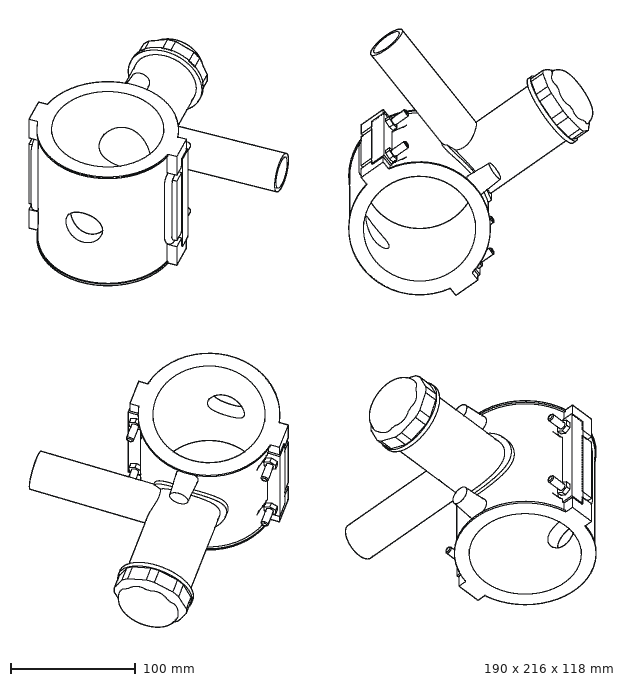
import cadquery as cq
import math

total_length = 216.0

height = 118.0
bore_radius = 45.0
rim_radius = 56.8
rim_width = 2.0
back_radius = 55.0
front_radius = 56.0
front_hole_diameter = 31.3

ear_root = 48.5
ear_reach = 63.3
ear_thickness = 11.0
pad_reach = 64.1
pad_thickness = 12.5
pad_height = 94.5

bolt_diameter = 6.0
bolt_x = 57.0
bolt_z = 35.5
bolt_tip_y = 30.2
bolt_tip_chamfer = 0.9
bolt_bar_y = -14.0
bolt_bend_radius = 7.5
slot_width = 6.5
nut_across_flats = 10.0
nut_height = 3.9
nut_pocket_radius = 8.2
nut_pocket_fillet = 3.7

tube_diameter = 53.5
tube_bore_diameter = 44.0
saddle_ring_diameter = 63.0
saddle_ring_radius = 57.9
branch_diameter = 32.0
branch_bore_diameter = 25.7
branch_y = 61.0
branch_end_x = 125.9

cap_flange_diameter = 63.0
cap_flange_y = 131.0
cap_flange_thickness = 3.5
cap_grip_radius = 30.7
cap_grip_apothem = 29.47
cap_grip_sides = 8
cap_grip_height = 11.7
cap_slope = 45.0
cap_slope_height = 6.5
cap_dome_radius = 25.5
cap_dome_fillet = 9.7
cap_end_y = total_length - rim_radius

peg_base_diameter = 18.8
peg_tip_diameter = 15.5
peg_base_y = 53.0
peg_tip_y = 75.4
peg_z = 47.5

SIGNS = (-1, 1)


def box_between(x_range, y_range, z_range):
    """Axis-aligned box from pairs of opposite limits."""
    sizes = [abs(b - a) for a, b in (x_range, y_range, z_range)]
    middle = [(a + b) / 2 for a, b in (x_range, y_range, z_range)]
    return cq.Workplane("XY").box(*sizes).translate(tuple(middle))


def z_cylinder(radius, length):
    return cq.Workplane("XY").workplane(offset=-length / 2).circle(radius).extrude(length)


def y_plane(y, x=0.0, z=0.0):
    """Workplane facing +Y; its local X axis is global X."""
    return cq.Workplane(cq.Plane(origin=(x, y, z), xDir=(1, 0, 0), normal=(0, 1, 0)))


def half_space(side):
    """Large box covering one side of the parting plane."""
    reach = 2 * rim_radius
    return box_between((-reach, reach), (0, side * reach), (-reach, reach))


def back_shell():
    """+Y shell with the rounded pockets that clear the nuts."""
    shell = z_cylinder(back_radius, height)
    for side in SIGNS:
        for level in SIGNS:
            pocket = y_plane(0, side * bolt_x, level * bolt_z).circle(nut_pocket_radius)
            shell = shell.cut(pocket.extrude(rim_radius, both=True))
    shell = shell.edges("%BSPLINE").fillet(nut_pocket_fillet)
    return shell.intersect(half_space(1))


def rims():
    ring = z_cylinder(rim_radius, height)
    return ring.cut(z_cylinder(rim_radius, height - 2 * rim_width))


def ears(side):
    """Both half ears and the thicker bolt pad on one side."""
    root = side * ear_root
    full_height = (-height / 2, height / 2)
    ear = box_between((root, side * ear_reach), (-ear_thickness, ear_thickness), full_height)
    pad = box_between(
        (root, side * pad_reach), (0, pad_thickness), (-pad_height / 2, pad_height / 2)
    )
    return ear.cut(bolt_slots(side)).union(pad)


def bolt_slots(side):
    """Slots in the front ear, open outward, for the two legs of a U-bolt."""
    inner = side * (bolt_x - slot_width / 2)
    slots = cq.Workplane()
    for level in SIGNS:
        z_range = (level * bolt_z - slot_width / 2, level * bolt_z + slot_width / 2)
        slots = slots.union(box_between((inner, side * pad_reach), (-ear_thickness, 0), z_range))
    return slots


def u_bolt(side):
    bend_y = bolt_bar_y + bolt_bend_radius
    bend_z = bolt_z - bolt_bend_radius
    corner = bolt_bend_radius * math.sqrt(0.5)
    plane = cq.Plane(origin=(side * bolt_x, 0, 0), xDir=(0, 1, 0), normal=(1, 0, 0))
    path = (
        cq.Workplane(plane)
        .moveTo(bolt_tip_y, bolt_z)
        .lineTo(bend_y, bolt_z)
        .threePointArc((bend_y - corner, bend_z + corner), (bolt_bar_y, bend_z))
        .lineTo(bolt_bar_y, -bend_z)
        .threePointArc((bend_y - corner, -bend_z - corner), (bend_y, -bolt_z))
        .lineTo(bolt_tip_y, -bolt_z)
    )
    start = y_plane(bolt_tip_y, side * bolt_x, bolt_z)
    bolt = start.circle(bolt_diameter / 2).sweep(path)
    bolt = bolt.faces(">Y").edges().chamfer(bolt_tip_chamfer)
    corner_diameter = nut_across_flats / math.cos(math.pi / 6)
    for level in SIGNS:
        nut = (
            y_plane(pad_thickness, side * bolt_x, level * bolt_z)
            .transformed(rotate=(0, 0, 90))
            .polygon(6, corner_diameter)
            .extrude(nut_height)
        )
        bolt = bolt.union(nut)
    return bolt


def tube():
    body = y_plane(0).circle(tube_diameter / 2).extrude(cap_flange_y)
    ring = y_plane(0).circle(saddle_ring_diameter / 2).extrude(2 * rim_radius)
    ring = ring.intersect(z_cylinder(saddle_ring_radius, height))
    branch = (
        cq.Workplane("YZ").center(branch_y, 0).circle(branch_diameter / 2).extrude(branch_end_x)
    )
    return body.union(ring).union(branch)


def cap():
    """Flanged cap: octagonal grip with rounded corners, sloped shoulder and dome."""
    grip_y = cap_flange_y + cap_flange_thickness
    shoulder_y = grip_y + cap_grip_height
    flange = y_plane(cap_flange_y).circle(cap_flange_diameter / 2).extrude(cap_flange_thickness)
    octagon_diameter = 2 * cap_grip_apothem / math.cos(math.pi / cap_grip_sides)

    def prism(y):
        return y_plane(y).polygon(cap_grip_sides, octagon_diameter)

    grip = prism(grip_y).extrude(cap_grip_height)
    grip = grip.intersect(y_plane(grip_y).circle(cap_grip_radius).extrude(cap_grip_height))
    shoulder = prism(shoulder_y).extrude(cap_slope_height, taper=cap_slope)
    cone = y_plane(shoulder_y).circle(cap_grip_radius).extrude(cap_slope_height, taper=cap_slope)
    dome = y_plane(grip_y).circle(cap_dome_radius).extrude(cap_end_y - grip_y)
    dome = dome.faces(">Y").edges().fillet(cap_dome_fillet)
    return flange.union(grip).union(shoulder.intersect(cone)).union(dome)


def peg(level):
    base = y_plane(peg_base_y, 0, level * peg_z).circle(peg_base_diameter / 2)
    tip = base.workplane(offset=peg_tip_y - peg_base_y).circle(peg_tip_diameter / 2)
    return tip.loft()


front_shell = z_cylinder(front_radius, height).intersect(half_space(-1))
result = back_shell().union(front_shell).union(rims())
for side in SIGNS:
    result = result.union(ears(side))
result = result.union(tube()).union(cap())
for level in SIGNS:
    result = result.union(peg(level))

result = result.cut(z_cylinder(bore_radius, height))
result = result.cut(y_plane(0).circle(tube_bore_diameter / 2).extrude(cap_flange_y))
branch_bore = cq.Workplane("YZ").center(branch_y, 0).circle(branch_bore_diameter / 2)
result = result.cut(branch_bore.extrude(branch_end_x))
front_hole = y_plane(-rim_radius).circle(front_hole_diameter / 2).extrude(rim_radius)
result = result.cut(front_hole)

for side in SIGNS:
    result = result.union(u_bolt(side))